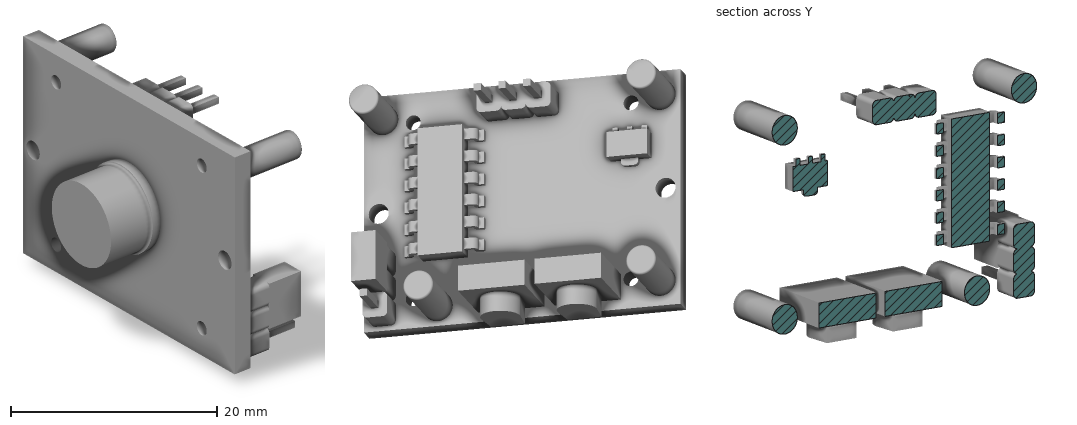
import cadquery as cq


board_width = 32.0
board_height = 24.0
board_thickness = 2.0
corner_hole_diameter = 1.5
corner_hole_x = 11.0
corner_hole_z = 9.0
side_hole_diameter = 2.0
side_hole_x = 14.5

can_length = 6.0
can_radius = 4.48
rim_radius = 4.77
rim_length = 0.95

standoff_radius = 1.5
standoff_length = 7.0
standoff_rounding = 0.2
standoff_x = 14.0
standoff_z = 9.5
moved_standoff_x = 8.5
moved_standoff_z = -10.0

trimmer_width = 6.72
trimmer_height = 2.55
trimmer_top_z = -8.45
trimmer_spacing = 7.75
first_trimmer_x = -6.65
knob_radius = 2.0
knob_axis_y = 3.78
knob_base_y = 1.2
knob_base_width = 3.45
knob_overhang = 1.0

pin_count = 3
pin_pitch = 2.5
pin_width = 0.75
header_height = 3.0
header_rounding = 0.48
plug_header_z = 9.65
jumper_header_x = standoff_x
jumper_header_top_z = -4.03
jumper_pins = 2

chip_x = 7.75
chip_z = 1.2
chip_width = 4.5
chip_length = 13.0
chip_height = 2.0
chip_lead_rows = 6
chip_lead_pitch = 2.25
chip_lead_width = 1.1
chip_lead_middle_z = 1.35
lead_top_y = 1.25
lead_thickness = 0.45
lead_knee = 3.52
lead_reach = 4.03
lead_bend_radius = 0.48

regulator_x = -11.0
regulator_z = 4.45
regulator_width = 4.1
regulator_depth = 2.55
regulator_height = 1.55
leg_count = 3
leg_pitch = 1.47
leg_width = 0.55
leg_height = 0.5
leg_length = 0.7
tab_width = 1.73
tab_length = 0.7
tab_corner_radius = 0.4


def rear_block(width, depth, height, x, z, base_y=0.0):
    """Box centred on (x, z) that rises by height from base_y towards +Y."""
    return cq.Workplane("XY").box(width, height, depth).translate((x, base_y + height / 2, z))


def evenly_spaced(count, pitch):
    """Positions of count items at the given pitch, centred on zero."""
    return [(i - (count - 1) / 2) * pitch for i in range(count)]


def board():
    corner_holes = [(x, z) for x in (-corner_hole_x, corner_hole_x) for z in (-corner_hole_z, corner_hole_z)]
    side_holes = [(-side_hole_x, 0), (side_hole_x, 0)]
    plate = cq.Workplane("XZ").rect(board_width, board_height).extrude(board_thickness)
    corner_drill = cq.Workplane("XZ").pushPoints(corner_holes).circle(corner_hole_diameter / 2)
    side_drill = cq.Workplane("XZ").pushPoints(side_holes).circle(side_hole_diameter / 2)
    return plate.cut(corner_drill.extrude(board_thickness)).cut(side_drill.extrude(board_thickness))


def sensor_can():
    blend_radius = rim_radius - can_radius
    shoulder_y = -board_thickness - rim_length
    front_y = -board_thickness - can_length
    return (
        cq.Workplane("XY")
        .moveTo(0, -board_thickness)
        .lineTo(rim_radius, -board_thickness)
        .lineTo(rim_radius, shoulder_y)
        .radiusArc((can_radius, shoulder_y - blend_radius), -blend_radius)
        .lineTo(can_radius, front_y)
        .lineTo(0, front_y)
        .close()
        .revolve(360, (0, 0, 0), (0, 1, 0))
    )


def standoff(x, z):
    post = cq.Workplane("XZ", origin=(x, 0, z)).circle(standoff_radius).extrude(-standoff_length)
    return post.faces(">Y").edges().fillet(standoff_rounding)


def trimmer(x):
    bottom_z = trimmer_top_z - trimmer_height
    body = rear_block(trimmer_width, trimmer_height, standoff_length, x, trimmer_top_z - trimmer_height / 2)
    knob_length = bottom_z + board_height / 2 + knob_overhang
    knob = (
        cq.Workplane("XY", origin=(x, 0, bottom_z))
        .moveTo(-knob_base_width / 2, knob_base_y)
        .lineTo(knob_base_width / 2, knob_base_y)
        .lineTo(knob_radius, knob_axis_y)
        .threePointArc((0, knob_axis_y + knob_radius), (-knob_radius, knob_axis_y))
        .close()
        .extrude(-knob_length)
    )
    return body.union(knob)


def pin_header():
    """Header along X, centred on the origin: one rounded segment and one square pin per position."""
    header = cq.Workplane("XY")
    for x in evenly_spaced(pin_count, pin_pitch):
        segment = rear_block(pin_pitch, pin_pitch, header_height, x, 0).edges("|Y").fillet(header_rounding)
        header = header.union(segment).union(rear_block(pin_width, pin_width, standoff_length, x, 0))
    return header


def jumper_header():
    header_middle_z = jumper_header_top_z - pin_count * pin_pitch / 2
    header = pin_header().rotate((0, 0, 0), (0, 1, 0), 90).translate((jumper_header_x, 0, header_middle_z))
    cap_length = jumper_pins * pin_pitch
    cap_middle_z = jumper_header_top_z - cap_length / 2
    cap_height = standoff_length - header_height
    cap = rear_block(pin_pitch, cap_length, cap_height, jumper_header_x, cap_middle_z, header_height)
    return header.union(cap)


def chip_lead(z):
    """Lead on the +X side of a chip centred on X = 0: out of the body, down to the board, then a foot."""
    inner_knee = lead_knee - lead_thickness
    return (
        cq.Workplane("XY", origin=(0, 0, z - chip_lead_width / 2))
        .moveTo(chip_width / 2, lead_top_y)
        .lineTo(lead_knee - lead_bend_radius, lead_top_y)
        .radiusArc((lead_knee, lead_top_y - lead_bend_radius), lead_bend_radius)
        .lineTo(lead_knee, lead_thickness)
        .lineTo(lead_reach, lead_thickness)
        .lineTo(lead_reach, 0)
        .lineTo(inner_knee + lead_bend_radius, 0)
        .radiusArc((inner_knee, lead_bend_radius), lead_bend_radius)
        .lineTo(inner_knee, lead_top_y - lead_thickness)
        .lineTo(chip_width / 2, lead_top_y - lead_thickness)
        .close()
        .extrude(chip_lead_width)
    )


def chip():
    package = rear_block(chip_width, chip_length, chip_height, 0, chip_z)
    for offset in evenly_spaced(chip_lead_rows, chip_lead_pitch):
        lead = chip_lead(chip_lead_middle_z + offset)
        package = package.union(lead).union(lead.mirror("YZ"))
    return package.translate((chip_x, 0, 0))


def regulator():
    top_z = regulator_z + regulator_depth / 2
    bottom_z = regulator_z - regulator_depth / 2
    package = rear_block(regulator_width, regulator_depth, regulator_height, regulator_x, regulator_z)
    for offset in evenly_spaced(leg_count, leg_pitch):
        leg = rear_block(leg_width, leg_length, leg_height, regulator_x + offset, top_z + leg_length / 2)
        package = package.union(leg)
    tab = rear_block(tab_width, tab_length, leg_height, regulator_x, bottom_z - tab_length / 2)
    return package.union(tab.faces("<Z").edges("|Y").fillet(tab_corner_radius))


result = board().union(sensor_can())

standoff_places = [
    (-standoff_x, standoff_z),
    (standoff_x, standoff_z),
    (-standoff_x, -standoff_z),
    (moved_standoff_x, moved_standoff_z),
]
for x, z in standoff_places:
    result = result.union(standoff(x, z))

for x in (first_trimmer_x, first_trimmer_x + trimmer_spacing):
    result = result.union(trimmer(x))

result = result.union(pin_header().translate((0, 0, plug_header_z)))
result = result.union(jumper_header())
result = result.union(chip())
result = result.union(regulator())